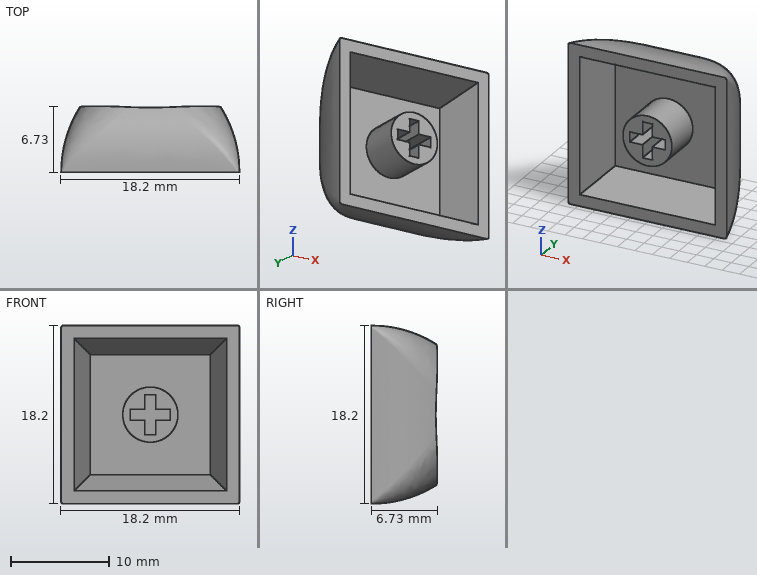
import cadquery as cq
import math

base_width = 18.15
height = 6.73
side_arc_radius = 12.35
base_corner_radius = 0.27
top_corner_radius = 5.08
section_count = 6
loft_height = 7.26
dish_radius = 36.3

cavity_mouth = 15.5
cavity_floor = 12.16
cavity_depth = 4.6

stem_diameter = 5.6
cross_length = 4.05
cross_width = 1.13


def half_width(y):
    """Half the outer width at height y, with the side walls upright at the base."""
    return base_width / 2 - side_arc_radius + math.sqrt(side_arc_radius**2 - y**2)


def corner_radius(y):
    """Corner radius, growing steadily from the base to the top."""
    return base_corner_radius + (top_corner_radius - base_corner_radius) * y / height


def base_workplane():
    """Workplane on the open base, with its normal along +Y."""
    return cq.Workplane(cq.Plane(origin=(0, 0, 0), xDir=(1, 0, 0), normal=(0, 1, 0)))


def outer_section(y):
    """Rounded square outline of the body at height y."""
    width = 2 * half_width(y)
    outline = cq.Sketch().rect(width, width).vertices().fillet(corner_radius(y))
    return outline.moved(cq.Location(cq.Vector(0, 0, y)))


def make_body():
    """Solid lofted smoothly through the outer sections, slightly taller than the rim."""
    heights = [loft_height * i / (section_count - 1) for i in range(section_count)]
    sections = [outer_section(y) for y in heights]
    return base_workplane().placeSketch(*sections).loft()


def make_dish():
    """Sphere placed so that the rim corners end exactly at the full height."""
    corner_inset = corner_radius(height) * (math.sqrt(2) - 1)
    corner_reach = half_width(height) * math.sqrt(2) - corner_inset
    center_y = height + math.sqrt(dish_radius**2 - corner_reach**2)
    return cq.Workplane("XY").sphere(dish_radius).translate((0, center_y, 0))


def make_cavity():
    """Square pocket narrowing evenly from the mouth to a flat floor."""
    wall_inset = (cavity_mouth - cavity_floor) / 2
    draft_angle = math.degrees(math.atan2(wall_inset, cavity_depth))
    mouth = base_workplane().rect(cavity_mouth, cavity_mouth)
    return mouth.extrude(cavity_depth, taper=draft_angle)


def make_stem():
    """Round post from the cavity floor to the base plane, with a cross socket."""
    base = base_workplane()
    post = base.circle(stem_diameter / 2).extrude(cavity_depth)
    wide_slot = base.rect(cross_length, cross_width).extrude(cavity_depth)
    tall_slot = base.rect(cross_width, cross_length).extrude(cavity_depth)
    return post.cut(wide_slot).cut(tall_slot)


shell = make_body().cut(make_dish()).cut(make_cavity())
result = shell.union(make_stem())